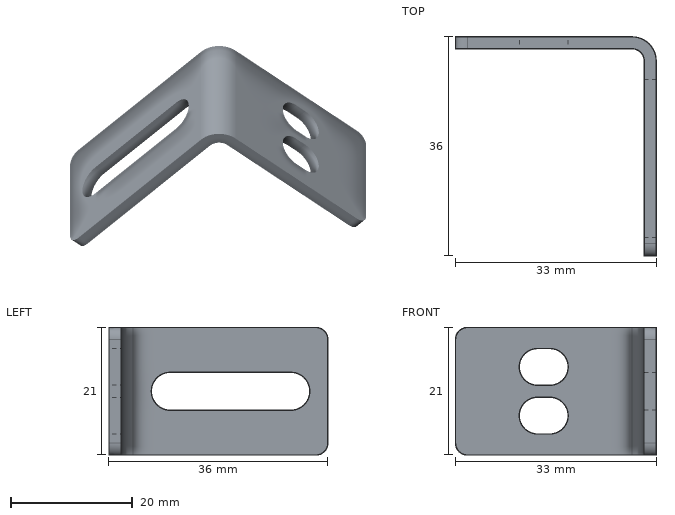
import cadquery as cq

LENGTH_X = 33.0
LENGTH_Y = 36.0
HEIGHT = 21.0
THICKNESS = 2.0
INNER_BEND_RADIUS = 2.0
OUTER_BEND_RADIUS = INNER_BEND_RADIUS + THICKNESS
CORNER_RADIUS = 2.0

SHORT_SLOT_COUNT = 2
SHORT_SLOT_LENGTH = 8.0
SHORT_SLOT_WIDTH = 6.0
SHORT_SLOT_SPACING = 8.0
SHORT_SLOT_FROM_FREE_END = 14.5

LONG_SLOT_LENGTH = 26.0
LONG_SLOT_WIDTH = 6.2
LONG_SLOT_FROM_FREE_END = 16.0

MID_HEIGHT = HEIGHT / 2


def make_bent_strip():
    """L-shaped strip with its outer bend at the +X, +Y corner."""
    strip = (
        cq.Workplane("XY")
        .moveTo(0, LENGTH_Y)
        .lineTo(LENGTH_X, LENGTH_Y)
        .lineTo(LENGTH_X, 0)
        .lineTo(LENGTH_X - THICKNESS, 0)
        .lineTo(LENGTH_X - THICKNESS, LENGTH_Y - THICKNESS)
        .lineTo(0, LENGTH_Y - THICKNESS)
        .close()
        .extrude(HEIGHT)
    )
    strip = strip.edges("|Z and >X and >Y").fillet(OUTER_BEND_RADIUS)
    inner_corner = cq.NearestToPointSelector((LENGTH_X - THICKNESS, LENGTH_Y - THICKNESS, MID_HEIGHT))
    return strip.edges(inner_corner).fillet(INNER_BEND_RADIUS)


def round_free_corners(strip):
    """Round the top and bottom corners at the free end of each leg."""
    strip = strip.faces("<X").edges("|Y").fillet(CORNER_RADIUS)
    return strip.faces("<Y").edges("|X").fillet(CORNER_RADIUS)


def make_short_slots():
    """Cutter for the two slots stacked in height on the back leg."""
    return (
        cq.Workplane("XZ", origin=(SHORT_SLOT_FROM_FREE_END, LENGTH_Y, MID_HEIGHT))
        .rarray(SHORT_SLOT_LENGTH, SHORT_SLOT_SPACING, 1, SHORT_SLOT_COUNT)
        .slot2D(SHORT_SLOT_LENGTH, SHORT_SLOT_WIDTH)
        .extrude(THICKNESS)
    )


def make_long_slot():
    """Cutter for the slot along the side leg."""
    return (
        cq.Workplane("YZ", origin=(LENGTH_X - THICKNESS, LONG_SLOT_FROM_FREE_END, MID_HEIGHT))
        .slot2D(LONG_SLOT_LENGTH, LONG_SLOT_WIDTH)
        .extrude(THICKNESS)
    )


bracket = round_free_corners(make_bent_strip())
result = bracket.cut(make_short_slots()).cut(make_long_slot())